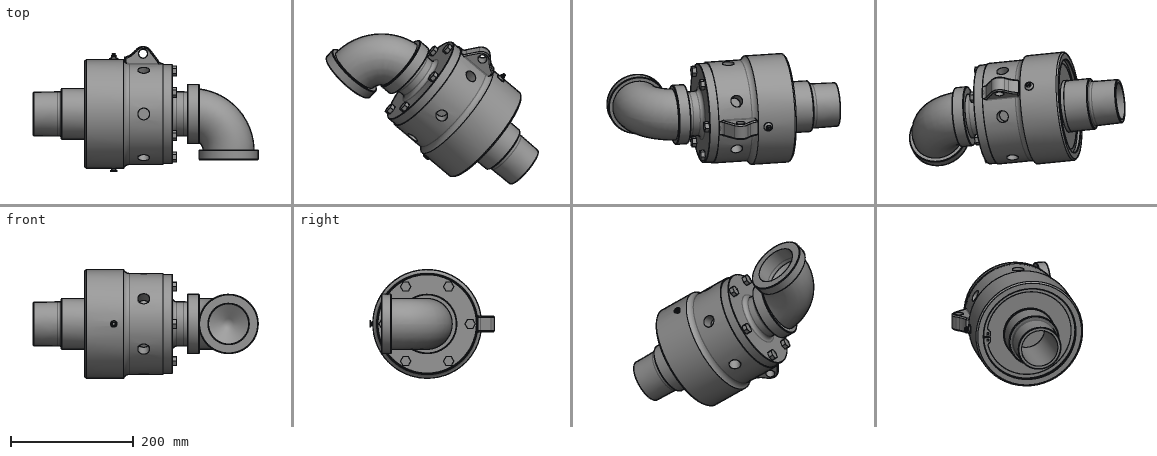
import cadquery as cq
import math


THREAD_END_RADIUS = 35.5
THREAD_RADIUS = 36.5
THREAD_LENGTH = 39.7
SHAFT_RADIUS = 83.5 / 2
SHOULDER_X = 45.5
SHOULDER_EDGE_RADIUS = 80.5 / 2
SHOULDER_FILLET = 1.5
SHOULDER_END_X = 47.0
SEAL_RADIUS = 85.0 / 2
SEAL_LENGTH = 5.5
END_CHAMFER = 1.0
BORE_DIAMETER = 60.3
BORE_DEPTH = 110.2

HOUSING_X = 84.0
DRUM_RADIUS = 89.0
DRUM_CHAMFER = 2.5
DRUM_END_X = 147.5
NECK_BLEND_X = 157.0
NECK_RADIUS = 82.5
COVER_X = 212.0
COVER_RADIUS = 162.0 / 2
COVER_END_X = 227.0
COVER_CHAMFER = 0.7

RECESS_DIAMETER = 152.5
RECESS_CHAMFER = 1.0
RECESS_DEPTH = 6.2
RING_DEPTH = 5.5
RING_INNER_DIAMETER = 140.5
RING_GAP = 2.2
RING_OFFSET_Z = -2.5
EAR_TIP_Y = 64.3
EAR_TIP_HALF_WIDTH = 8.5
EAR_ROOT_HALF_WIDTH = 15.5
EAR_HOLE_DIAMETER = 3.5
EAR_HOLE_Y = 68.5
EAR_HOLE_SPACING = 11.0

HOLE_COUNT = 6
HOLE_DIAMETER = 19.0
HOLE_X = 180.5
HOLE_DEPTH = 22.8

BOLT_COUNT = 6
BOLT_CIRCLE_RADIUS = 70.2
BOLT_FLATS = 14.7
BOLT_HEAD = 7.0

TAIL_RADIUS = THREAD_RADIUS
TAIL_END_RADIUS = 36.0
TAIL_TAPER_X = 245.0
TAIL_FILLET = 7.0
COLLAR_RADIUS = 48.5
COLLAR_X = 251.7
COLLAR_END_X = 271.2
COLLAR_CHAMFER = 1.0

OUTLET_X = 319.0
OUTLET_END_Y = -75.0
OUTLET_COLLAR = 16.5
ELBOW_RADIUS = SHAFT_RADIUS
BEND_RADIUS = 60.3
OUTLET_BORE_DIAMETER = 67.5
OUTLET_SEAT_DIAMETER = 65.5
OUTLET_BORE_DEPTH = 24.3
OUTLET_SEAT_DEPTH = 6.0
OUTLET_CONE_DEPTH = 18.5

LUG_X = 179.5
LUG_HOLE_Y = 98.5
LUG_CREST_Y = 95.5
LUG_CREST_RADIUS = 14.7
LUG_FRONT_SLOPE = 45
LUG_REAR_SLOPE = 53
LUG_FRONT_FLANK_X = 163.5
LUG_REAR_FLANK_X = 204.0
LUG_FRONT_X = 149.2
LUG_FRONT_Y = 92.5
LUG_REAR_X = 211.3
LUG_REAR_Y = 82.5
LUG_ROOT_Y = 75.5
LUG_FOOT_MID_X = 206.5
LUG_FOOT_MID_Y = 83.8
LUG_ROOT_FILLET = 1.0
LUG_HOLE_DIAMETER = 14.5
LUG_THICKNESS = 25.7
LUG_EDGE = 2.2

FITTING_X = 131.5
FITTING_ROOT = 84.5
NIPPLE_STEM_RADIUS = 4.0
NIPPLE_BASE_RADIUS = 14.5 / 2
NIPPLE_BASE_Y = 89.3
NIPPLE_BASE_TOP_Y = 90.0
NIPPLE_WAIST_RADIUS = 2.5
NIPPLE_WAIST_Y = 92.5
NIPPLE_RIM_RADIUS = 4.0
NIPPLE_RIM_Y = 94.5
NIPPLE_NECK_RADIUS = 2.0
NIPPLE_NECK_Y = 96.3
NIPPLE_TIP_RADIUS = 2.5
NIPPLE_TIP_Y = 97.7
NIPPLE_END_Y = 99.0
PLUG_STEM_RADIUS = 3.5
PLUG_HEAD_RADIUS = 10.5 / 2
PLUG_HEAD_THICKNESS = 1.5
PLUG_END_Y = -93.7
PLUG_SOCKET_RADIUS = 2.5
PLUG_SOCKET_DEPTH = 2.5


def revolve_x(profile):
    """Revolve an (x, radius) outline about the X axis."""
    return profile.close().revolve(360, (0, 0, 0), (1, 0, 0))


def revolve_y(profile):
    """Revolve an outline about the line x = 0, the local Y direction."""
    return profile.close().revolve(360, (0, 0, 0), (0, 1, 0))


def shaft():
    fillet_x = SHOULDER_X - SHOULDER_FILLET
    floor_x = HOUSING_X + RECESS_DEPTH
    outline = (
        cq.Workplane("XY")
        .lineTo(0, THREAD_END_RADIUS - END_CHAMFER)
        .lineTo(END_CHAMFER, THREAD_END_RADIUS)
        .lineTo(THREAD_LENGTH, THREAD_RADIUS)
        .lineTo(fillet_x, THREAD_RADIUS)
        .tangentArcPoint((SHOULDER_FILLET, SHOULDER_FILLET))
        .lineTo(SHOULDER_X, SHOULDER_EDGE_RADIUS)
        .lineTo(SHOULDER_END_X, SHAFT_RADIUS)
        .lineTo(floor_x - SEAL_LENGTH, SHAFT_RADIUS)
        .lineTo(floor_x - SEAL_LENGTH, SEAL_RADIUS)
        .lineTo(floor_x, SEAL_RADIUS)
        .lineTo(floor_x, 0)
    )
    return revolve_x(outline)


def housing():
    blend_length = NECK_BLEND_X - DRUM_END_X
    step = DRUM_RADIUS - NECK_RADIUS
    blend_radius = (blend_length**2 + step**2) / (2 * step)
    outline = (
        cq.Workplane("XY")
        .moveTo(HOUSING_X, 0)
        .lineTo(HOUSING_X, DRUM_RADIUS - DRUM_CHAMFER)
        .lineTo(HOUSING_X + DRUM_CHAMFER, DRUM_RADIUS)
        .lineTo(DRUM_END_X, DRUM_RADIUS)
        .radiusArc((NECK_BLEND_X, NECK_RADIUS), -blend_radius)
        .lineTo(COVER_X, NECK_RADIUS)
        .lineTo(COVER_X, COVER_RADIUS)
        .lineTo(COVER_END_X - COVER_CHAMFER, COVER_RADIUS)
        .lineTo(COVER_END_X, COVER_RADIUS - COVER_CHAMFER)
        .lineTo(COVER_END_X, 0)
    )
    return revolve_x(outline)


def recess():
    radius = RECESS_DIAMETER / 2
    outline = (
        cq.Workplane("XY")
        .moveTo(HOUSING_X, 0)
        .lineTo(HOUSING_X, radius + RECESS_CHAMFER)
        .lineTo(HOUSING_X + RECESS_CHAMFER, radius)
        .lineTo(HOUSING_X + RECESS_DEPTH, radius)
        .lineTo(HOUSING_X + RECESS_DEPTH, 0)
    )
    return revolve_x(outline)


def retaining_ring():
    thickness = RECESS_DEPTH - RING_DEPTH
    face = cq.Workplane("YZ", origin=(HOUSING_X + RING_DEPTH, 0, 0))
    inner_radius = RING_INNER_DIAMETER / 2
    outer_radius = RECESS_DIAMETER / 2
    ring = face.circle(outer_radius).circle(inner_radius).extrude(thickness)
    ears = (
        face.center(0, RING_OFFSET_Z)
        .moveTo(inner_radius, -EAR_ROOT_HALF_WIDTH)
        .lineTo(EAR_TIP_Y, -EAR_TIP_HALF_WIDTH)
        .lineTo(EAR_TIP_Y, EAR_TIP_HALF_WIDTH)
        .lineTo(inner_radius, EAR_ROOT_HALF_WIDTH)
        .close()
        .extrude(thickness)
    )
    ear_holes = (
        face.center(EAR_HOLE_Y, RING_OFFSET_Z)
        .rarray(3.5, EAR_HOLE_SPACING, 1, 2)
        .circle(EAR_HOLE_DIAMETER / 2)
        .extrude(thickness)
    )
    gap_length = outer_radius - EAR_TIP_Y
    gap = (
        face.center(EAR_TIP_Y + gap_length / 2, RING_OFFSET_Z)
        .rect(gap_length, RING_GAP)
        .extrude(thickness)
    )
    return ring.union(ears).cut(ear_holes).cut(gap)


def radial_holes():
    floor_radius = NECK_RADIUS - HOLE_DEPTH
    hole_length = DRUM_RADIUS - floor_radius
    hole = (
        cq.Workplane("XY", origin=(HOLE_X, 0, floor_radius))
        .circle(HOLE_DIAMETER / 2)
        .extrude(hole_length)
    )
    holes = cq.Workplane("XY")
    for i in range(HOLE_COUNT):
        holes = holes.add(hole.rotate((0, 0, 0), (1, 0, 0), i * 360 / HOLE_COUNT))
    return holes.combine()


def bolt_heads():
    return (
        cq.Workplane("YZ", origin=(COVER_END_X, 0, 0))
        .polarArray(BOLT_CIRCLE_RADIUS, 0, 360, BOLT_COUNT, rotate=False)
        .polygon(6, BOLT_FLATS / math.cos(math.pi / 6))
        .extrude(BOLT_HEAD)
    )


def tailpiece():
    mid = TAIL_FILLET * (1 - math.sqrt(0.5))
    outline = (
        cq.Workplane("XY")
        .moveTo(COVER_END_X, 0)
        .lineTo(COVER_END_X, TAIL_RADIUS + TAIL_FILLET)
        .threePointArc(
            (COVER_END_X + mid, TAIL_RADIUS + mid),
            (COVER_END_X + TAIL_FILLET, TAIL_RADIUS),
        )
        .lineTo(TAIL_TAPER_X, TAIL_RADIUS)
        .lineTo(COLLAR_X, TAIL_END_RADIUS)
        .lineTo(COLLAR_X, 0)
    )
    return revolve_x(outline)


def collar(plane, length):
    return plane.circle(COLLAR_RADIUS).extrude(length).edges().chamfer(COLLAR_CHAMFER)


def elbow():
    bend_x = OUTLET_X - BEND_RADIUS
    outlet_inner_y = OUTLET_END_Y + OUTLET_COLLAR
    bend = (
        cq.Workplane("YZ", origin=(bend_x, 0, 0))
        .circle(ELBOW_RADIUS)
        .revolve(90, (-BEND_RADIUS, 0, 0), (-BEND_RADIUS, -1, 0))
    )
    inlet = collar(cq.Workplane("YZ", origin=(COLLAR_X, 0, 0)), COLLAR_END_X - COLLAR_X)
    outlet = collar(cq.Workplane("XZ", origin=(OUTLET_X, outlet_inner_y, 0)), OUTLET_COLLAR)
    return inlet.union(bend).union(outlet)


def outlet_bore():
    bore_radius = OUTLET_BORE_DIAMETER / 2
    seat_depth = OUTLET_BORE_DEPTH + OUTLET_SEAT_DEPTH
    outline = (
        cq.Workplane("XY", origin=(OUTLET_X, OUTLET_END_Y, 0))
        .lineTo(bore_radius, 0)
        .lineTo(bore_radius, OUTLET_BORE_DEPTH)
        .lineTo(OUTLET_SEAT_DIAMETER / 2, seat_depth)
        .lineTo(0, seat_depth + OUTLET_CONE_DEPTH)
    )
    return revolve_y(outline)


def crest_point(angle):
    """Point of the rounded lug crest at an angle from the +X direction."""
    return (
        LUG_X + LUG_CREST_RADIUS * math.cos(math.radians(angle)),
        LUG_CREST_Y + LUG_CREST_RADIUS * math.sin(math.radians(angle)),
    )


def lifting_lug():
    front_top = crest_point(90 + LUG_FRONT_SLOPE)
    rear_top = crest_point(90 - LUG_REAR_SLOPE)
    front_drop = (front_top[0] - LUG_FRONT_FLANK_X) * math.tan(math.radians(LUG_FRONT_SLOPE))
    rear_drop = (LUG_REAR_FLANK_X - rear_top[0]) * math.tan(math.radians(LUG_REAR_SLOPE))
    lug = (
        cq.Workplane("XY", origin=(0, 0, -LUG_THICKNESS / 2))
        .moveTo(*rear_top)
        .threePointArc(crest_point(90), front_top)
        .lineTo(LUG_FRONT_FLANK_X, front_top[1] - front_drop)
        .tangentArcPoint((LUG_FRONT_X, LUG_FRONT_Y), relative=False)
        .lineTo(LUG_FRONT_X, LUG_ROOT_Y)
        .lineTo(LUG_REAR_X, LUG_ROOT_Y)
        .lineTo(LUG_REAR_X, LUG_REAR_Y)
        .threePointArc((LUG_FOOT_MID_X, LUG_FOOT_MID_Y), (LUG_REAR_FLANK_X, rear_top[1] - rear_drop))
        .close()
        .extrude(LUG_THICKNESS)
    )
    above_root = cq.selectors.BoxSelector(
        (LUG_FRONT_X - 3.5, LUG_REAR_Y, -LUG_THICKNESS),
        (LUG_REAR_X, LUG_CREST_Y + LUG_CREST_RADIUS, LUG_THICKNESS),
    )
    return lug.faces("|Z").edges(above_root).chamfer(LUG_EDGE)


def lug_hole():
    return (
        cq.Workplane("XY", origin=(LUG_X, LUG_HOLE_Y, -LUG_THICKNESS / 2))
        .circle(LUG_HOLE_DIAMETER / 2)
        .extrude(LUG_THICKNESS)
    )


def grease_nipple():
    outline = (
        cq.Workplane("XY", origin=(FITTING_X, 0, 0))
        .moveTo(0, FITTING_ROOT)
        .lineTo(NIPPLE_STEM_RADIUS, FITTING_ROOT)
        .lineTo(NIPPLE_STEM_RADIUS, NIPPLE_BASE_Y)
        .lineTo(NIPPLE_BASE_RADIUS, NIPPLE_BASE_Y)
        .lineTo(NIPPLE_BASE_RADIUS, NIPPLE_BASE_TOP_Y)
        .lineTo(NIPPLE_WAIST_RADIUS, NIPPLE_WAIST_Y)
        .lineTo(NIPPLE_RIM_RADIUS, NIPPLE_RIM_Y)
        .lineTo(NIPPLE_NECK_RADIUS, NIPPLE_NECK_Y)
        .lineTo(NIPPLE_TIP_RADIUS, NIPPLE_TIP_Y)
        .lineTo(NIPPLE_NECK_RADIUS, NIPPLE_END_Y)
        .lineTo(0, NIPPLE_END_Y)
    )
    return revolve_y(outline)


def plug():
    head_y = PLUG_END_Y + PLUG_HEAD_THICKNESS
    socket_y = PLUG_END_Y + PLUG_SOCKET_DEPTH
    outline = (
        cq.Workplane("XY", origin=(FITTING_X, 0, 0))
        .moveTo(0, -FITTING_ROOT)
        .lineTo(PLUG_STEM_RADIUS, -FITTING_ROOT)
        .lineTo(PLUG_STEM_RADIUS, head_y)
        .lineTo(PLUG_HEAD_RADIUS, head_y)
        .lineTo(PLUG_HEAD_RADIUS, PLUG_END_Y)
        .lineTo(PLUG_SOCKET_RADIUS, PLUG_END_Y)
        .lineTo(PLUG_SOCKET_RADIUS, socket_y)
        .lineTo(0, socket_y)
    )
    return revolve_y(outline)


def housing_with_lug():
    """Join the lug to the housing and round the straight roots along its two faces."""
    half = LUG_THICKNESS / 2 + LUG_ROOT_FILLET
    straight_roots = cq.selectors.BoxSelector(
        (NECK_BLEND_X, LUG_ROOT_Y, -half),
        (LUG_REAR_FLANK_X - LUG_EDGE - LUG_ROOT_FILLET, NECK_RADIUS, half),
    )
    return housing().union(lifting_lug()).edges(straight_roots).fillet(LUG_ROOT_FILLET)


def shaft_bore():
    return cq.Workplane("YZ").circle(BORE_DIAMETER / 2).extrude(BORE_DEPTH)


result = housing_with_lug().cut(recess())
for addition in (retaining_ring(), shaft(), bolt_heads(), tailpiece(), elbow(), grease_nipple(), plug()):
    result = result.union(addition)
for cavity in (shaft_bore(), radial_holes(), outlet_bore(), lug_hole()):
    result = result.cut(cavity)